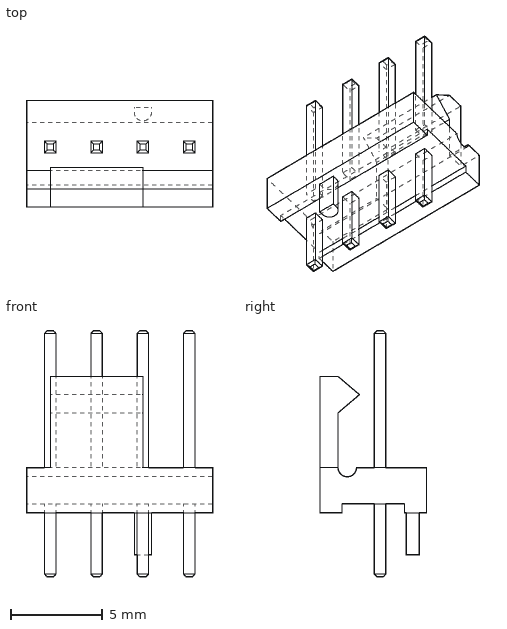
import cadquery as cq

body_length = 10.2
body_depth = 5.85
body_height = 2.48
foot_depth = 1.22
foot_height = 0.5
groove_radius = 0.5

pin_count = 4
pin_pitch = 2.54
pin_width = 0.63
pin_taper = 0.15
pin_length = 13.5
pin_below = 3.51
pin_y = 3.3
pin_positions = [(i - (pin_count - 1) / 2) * pin_pitch for i in range(pin_count)]

wall_thickness = 2 * groove_radius
wall_height = 5.0
wall_start = pin_positions[0]
wall_length = pin_positions[2] - wall_start
hook_reach = 1.17
hook_height = 2.0

peg_radius = 0.47
peg_side = 0.25
peg_length = 2.3
peg_back_gap = 0.39
peg_x = pin_positions[2]


def make_body():
    """Channelled housing with a half-round groove along the locking wall."""
    groove_start = wall_thickness
    groove_end = groove_start + 2 * groove_radius
    groove_middle = groove_start + groove_radius
    return (
        cq.Workplane("YZ", origin=(-body_length / 2, 0, 0))
        .moveTo(0, 0)
        .lineTo(foot_depth, 0)
        .lineTo(foot_depth, foot_height)
        .lineTo(body_depth - foot_depth, foot_height)
        .lineTo(body_depth - foot_depth, 0)
        .lineTo(body_depth, 0)
        .lineTo(body_depth, body_height)
        .lineTo(groove_end, body_height)
        .threePointArc((groove_middle, body_height - groove_radius), (groove_start, body_height))
        .lineTo(0, body_height)
        .close()
        .extrude(body_length)
    )


def make_locking_wall():
    """Upright wall whose hook points back over the groove."""
    top = body_height + wall_height
    return (
        cq.Workplane("YZ", origin=(wall_start, 0, 0))
        .moveTo(0, body_height)
        .lineTo(0, top)
        .lineTo(wall_thickness, top)
        .lineTo(wall_thickness + hook_reach, top - hook_height / 2)
        .lineTo(wall_thickness, top - hook_height)
        .lineTo(wall_thickness, body_height)
        .close()
        .extrude(wall_length)
    )


def make_pin(x):
    return (
        cq.Workplane("XY", origin=(x, pin_y, -pin_below))
        .rect(pin_width, pin_width)
        .extrude(pin_length)
        .faces("<Z or >Z")
        .chamfer(pin_taper)
    )


def make_peg():
    back = body_depth - peg_back_gap
    arc_centre = back - peg_side
    return (
        cq.Workplane("XY", origin=(peg_x, 0, 0))
        .moveTo(-peg_radius, back)
        .lineTo(-peg_radius, arc_centre)
        .threePointArc((0, arc_centre - peg_radius), (peg_radius, arc_centre))
        .lineTo(peg_radius, back)
        .close()
        .extrude(-peg_length)
    )


result = make_body().union(make_locking_wall()).union(make_peg())
for pin_x in pin_positions:
    result = result.union(make_pin(pin_x))